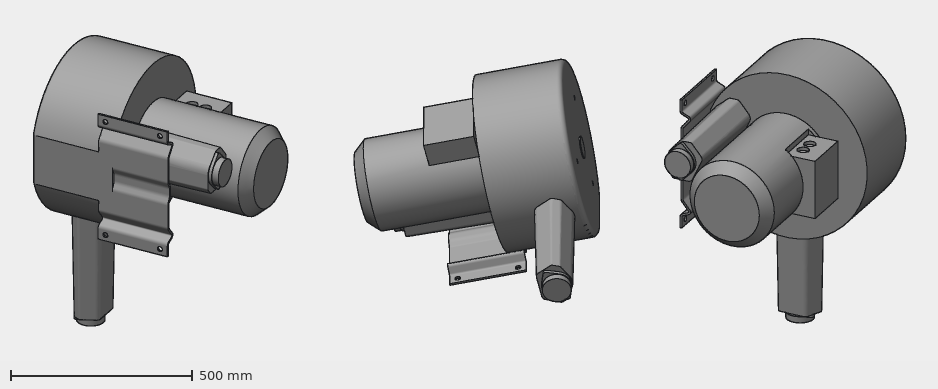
import cadquery as cq
import math


housing_radius = 250
housing_length = 253
housing_flat_y = -238
cover_fillet = 15
cover_boss_radius = 31
cover_boss_height = 3
cover_hole_circle = 143.5
cover_hole_diameter = 12
cover_hole_depth = 20
cover_hole_count = 3
cover_hole_start = 172

motor_radius = 130
motor_end_x = 622
motor_cone_length = 33
motor_end_radius = 100

box_x = (268, 410)
box_y = (76, 167)
box_half_height = 88
cable_hole_radius = 17
cable_hole_depth = 10
cable_hole_y = 105.5
cable_hole_x = (318, 360)

sheet = 6
foot_start_x = 210
foot_length = 217
foot_front_y = -241
foot_half_height = 196.5
flange_bend_z = 157.5
fold_tip_y = -207
fold_tip_z = 144.7
plate_bend_z = 111
groove_depth = 10
groove_outer_z = 33.5
groove_inner_z = 15
flange_bend = 10
fold_bend = 6.5
plate_bend = 15
groove_bend = 24
foot_hole_diameter = 15
foot_hole_inset = 23
foot_hole_z = 178

side_angle = 25
nose_reach = 48.5
side_reach = 66.2
nose_face_reach = nose_reach * math.cos(math.radians(side_angle))
side_face_reach = side_reach * math.cos(math.radians(side_angle))
back_reach = 50
nose_fillet = 33
side_fillet = 7
back_fillet = 15
silencer_draft = 1
flange_thickness = 10
flange_radius = 42
ear_radius = 8.5
ear_distance = 48
spout_radius = 40
spout_length = 20

lower_silencer_x = 80
lower_silencer_y = -42
lower_spout_end_z = -578.96
lower_silencer_root_z = -215

rear_silencer_y = -176
rear_silencer_z = 75
rear_spout_end_x = 573.5


def nearest_vertex(wire, point):
    return min(wire.Vertices(), key=lambda vertex: (vertex.Center() - point).Length)


def make_housing():
    drum = cq.Workplane("YZ").circle(housing_radius).extrude(housing_length)
    front_room = housing_radius + housing_flat_y
    flat_cutter = cq.Workplane("XY").box(
        housing_length, front_room, 2 * housing_radius, centered=(False, False, True)
    ).translate((0, -housing_radius, 0))
    drum = drum.cut(flat_cutter).faces("<X").edges().fillet(cover_fillet)
    boss = cq.Workplane("YZ").circle(cover_boss_radius).extrude(-cover_boss_height)
    holes = (
        cq.Workplane("YZ")
        .polarArray(cover_hole_circle, cover_hole_start, 360, cover_hole_count)
        .circle(cover_hole_diameter / 2)
        .extrude(cover_hole_depth)
    )
    return drum.union(boss).cut(holes)


def make_motor():
    outline = [
        (housing_length, 0),
        (housing_length, motor_radius),
        (motor_end_x - motor_cone_length, motor_radius),
        (motor_end_x, motor_end_radius),
        (motor_end_x, 0),
    ]
    return cq.Workplane("XY").polyline(outline).close().revolve(360, (0, 0, 0), (1, 0, 0))


def box_block(bottom, top):
    length = box_x[1] - box_x[0]
    width = box_y[1] - box_y[0]
    corner = cq.Workplane("XY", origin=(box_x[0], box_y[0], bottom))
    return corner.rect(length, width, centered=False).extrude(top - bottom)


def make_cable_holes():
    return (
        cq.Workplane("XY", origin=(0, 0, box_half_height))
        .pushPoints([(x, cable_hole_y) for x in cable_hole_x])
        .circle(cable_hole_radius)
        .extrude(-cable_hole_depth)
    )


def make_foot():
    flange_y = foot_front_y + sheet / 2
    plate_y = housing_flat_y + sheet / 2
    upper_bends = [
        (flange_y, flange_bend_z, flange_bend),
        (fold_tip_y, fold_tip_z, fold_bend),
        (plate_y, plate_bend_z, plate_bend),
        (plate_y, groove_outer_z, plate_bend),
        (plate_y + groove_depth, groove_inner_z, groove_bend),
    ]
    lower_bends = [(y, -z, radius) for y, z, radius in reversed(upper_bends)]
    bends = upper_bends + lower_bends
    corners = [(flange_y, foot_half_height)]
    corners += [(y, z) for y, z, radius in bends]
    corners += [(flange_y, -foot_half_height)]
    middle_x = foot_start_x + foot_length / 2
    path = cq.Workplane("YZ", origin=(middle_x, 0, 0)).polyline(corners).wire().val()
    for y, z, radius in bends:
        corner = nearest_vertex(path, cq.Vector(middle_x, y, z))
        path = path.fillet(radius, [corner])
    foot = (
        cq.Workplane("XY", origin=(middle_x, flange_y, foot_half_height))
        .rect(foot_length, sheet)
        .sweep(cq.Workplane(path))
    )
    hole_x = (foot_start_x + foot_hole_inset, foot_start_x + foot_length - foot_hole_inset)
    holes = (
        cq.Workplane("XZ", origin=(0, foot_front_y, 0))
        .pushPoints([(x, z) for x in hole_x for z in (-foot_hole_z, foot_hole_z)])
        .circle(foot_hole_diameter / 2)
        .extrude(-sheet)
    )
    return foot.cut(holes)


def make_blower():
    motor = make_motor().cut(box_block(box_half_height, motor_radius))
    box = box_block(-box_half_height, box_half_height)
    return make_housing().union(motor).union(make_foot()).union(box).cut(make_cable_holes())


def silencer_body(plane, length):
    tilt = math.radians(side_angle)
    shoulder_x = (nose_face_reach * math.cos(tilt) - side_face_reach * math.sin(tilt)) / math.cos(2 * tilt)
    shoulder_y = (side_face_reach * math.cos(tilt) - nose_face_reach * math.sin(tilt)) / math.cos(2 * tilt)
    back_y = side_reach - back_reach * math.tan(tilt)
    half = [(shoulder_x, shoulder_y), (0, side_reach), (-back_reach, back_y)]
    mirrored = [(x, -y) for x, y in reversed(half)]
    outline = cq.Workplane(plane).polyline([(nose_reach, 0)] + half + mirrored).close().wire().val()
    fillets = [(nose_reach, 0, nose_fillet)]
    for side in (1, -1):
        fillets += [
            (shoulder_x, side * shoulder_y, side_fillet),
            (0, side * side_reach, side_fillet),
            (-back_reach, side * back_y, back_fillet),
        ]
    for x, y, radius in fillets:
        corner = nearest_vertex(outline, plane.toWorldCoords((x, y, 0)))
        outline = outline.fillet2D(radius, [corner])
    solid = cq.Solid.extrudeLinear(outline, [], plane.zDir * -length, -silencer_draft)
    return cq.Workplane(plane).newObject([solid])


def silencer_flange(plane):
    tangent = math.asin((flange_radius - ear_radius) / ear_distance)
    disc_x = flange_radius * math.cos(tangent)
    disc_y = flange_radius * math.sin(tangent)
    ear_x = ear_radius * math.cos(tangent)
    ear_y = ear_distance + ear_radius * math.sin(tangent)
    ear_end = ear_distance + ear_radius
    return (
        cq.Workplane(plane)
        .transformed(rotate=(0, 0, side_angle))
        .moveTo(disc_x, -disc_y)
        .threePointArc((flange_radius, 0), (disc_x, disc_y))
        .lineTo(ear_x, ear_y)
        .threePointArc((0, ear_end), (-ear_x, ear_y))
        .lineTo(-disc_x, disc_y)
        .threePointArc((-flange_radius, 0), (-disc_x, -disc_y))
        .lineTo(-ear_x, -ear_y)
        .threePointArc((0, -ear_end), (ear_x, -ear_y))
        .close()
        .extrude(flange_thickness)
    )


def make_silencer(plane, length):
    spout = cq.Workplane(plane).circle(spout_radius).extrude(flange_thickness + spout_length)
    return silencer_body(plane, length).union(silencer_flange(plane)).union(spout)


blower = make_blower()

spout_reach = flange_thickness + spout_length
lower_end_z = lower_spout_end_z + spout_reach
rear_end_x = rear_spout_end_x - spout_reach
side_tilt = math.radians(side_angle)

lower_plane = cq.Plane(
    origin=(lower_silencer_x, lower_silencer_y, lower_end_z), xDir=(-1, 0, 0), normal=(0, 0, -1)
)
rear_plane = cq.Plane(
    origin=(rear_end_x, rear_silencer_y, rear_silencer_z),
    xDir=(0, -math.cos(side_tilt), math.sin(side_tilt)),
    normal=(1, 0, 0),
)
silencers = [
    make_silencer(plane, length).cut(blower)
    for plane, length in (
        (lower_plane, lower_silencer_root_z - lower_end_z),
        (rear_plane, rear_end_x - housing_length),
    )
]

result = cq.Compound.makeCompound([blower.val()] + [silencer.val() for silencer in silencers])